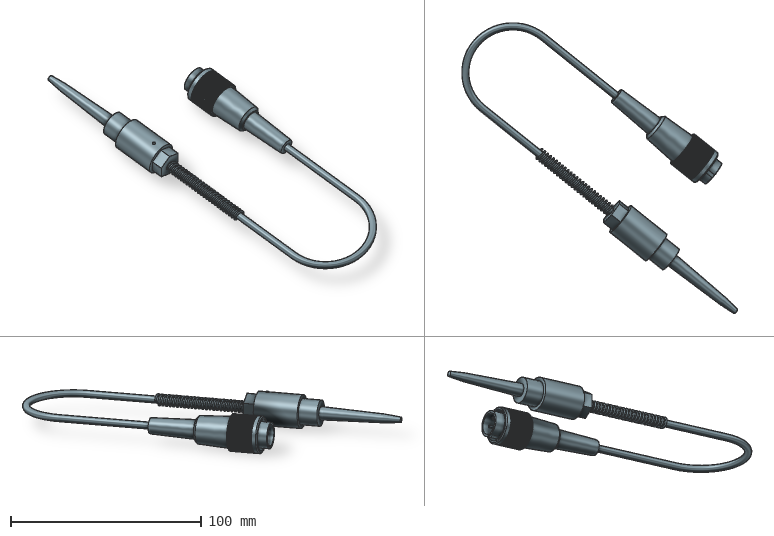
import cadquery as cq
import math

TOTAL_LENGTH = 199.7
PLUG_Y = 50.0
CABLE_DIAMETER = 3.8

TIP_END_DIAMETER = 3.0
TIP_DOME_HEIGHT = 0.3
TIP_BREAK_X = 9.5
TIP_BREAK_DIAMETER = 4.8
TIP_CONE_END_X = 42.1
TIP_SHANK_DIAMETER = 7.0

COLLAR_X = 44.5
COLLAR_DIAMETER = 14.0
SLEEVE_X = 54.7
SLEEVE_DIAMETER = 18.0
PIP_X = 73.9
PIP_DIAMETER = 1.5
PIP_HEIGHT = 0.4

NUT_X = 78.9
NUT_END_X = 85.0
NUT_ACROSS_FLATS = 13.2

SPRING_DIAMETER = 6.4
SPRING_WIRE_DIAMETER = 1.0
SPRING_PITCH = 2.0
SPRING_TURNS = 24.5
SPRING_CLEARANCE = 0.2

SHELL_X = 56.7
SHELL_DIAMETER = 14.0
SHELL_MOUTH_DIAMETER = 11.5
SHELL_FLOOR_DIAMETER = 10.2
SOCKET_DEPTH = 8.0
KEYWAY_WIDTH = 2.0
KEYWAY_RADIUS = 6.4
LUG_WIDTH = 2.4
LUG_RADIUS = 7.8
LUG_LENGTH = 2.0
PIN_COUNT = 4
PIN_DIAMETER = 1.5
PIN_CIRCLE_DIAMETER = 7.0
PIN_LENGTH = 5.8
PIN_CHAMFER = 0.3

RING_X = 61.3
RING_END_X = 77.9
RING_DIAMETER = 20.0
RING_BORE_DIAMETER = 16.8
RING_CHAMFER = 0.5
RING_RECESS_DEPTH = 4.0
KNURL_X = 64.3
KNURL_COUNT = 90
KNURL_DEPTH = 0.5

BOOT_DIAMETER = 17.2
SHOULDER_X = 95.8
SHOULDER_DIAMETER = 15.2
NECK_X = 97.2
NECK_DIAMETER = 10.5
BOOT_END_X = 122.8
BOOT_END_DIAMETER = 8.4
BOOT_RIM_X = 121.5
BOOT_RIM_DIAMETER = 8.8

TIP_DOME_RADIUS = ((TIP_END_DIAMETER / 2) ** 2 + TIP_DOME_HEIGHT ** 2) / (2 * TIP_DOME_HEIGHT)
BEND_RADIUS = PLUG_Y / 2
BEND_X = TOTAL_LENGTH - BEND_RADIUS - CABLE_DIAMETER / 2
SHELL_FLOOR_X = SHELL_X + SOCKET_DEPTH
SHELL_SEAT_X = RING_X + RING_RECESS_DEPTH


def cylinder(x_start, x_end, diameter, y=0.0, z=0.0):
    """A solid cylinder parallel to X."""
    return cq.Workplane("YZ", origin=(x_start, y, z)).circle(diameter / 2).extrude(x_end - x_start)


def turned(stations, y=0.0):
    """A body of revolution about an X-parallel axis through (x, diameter) stations."""
    outline = [(x, diameter / 2) for x, diameter in stations]
    outline = [(stations[0][0], 0.0)] + outline + [(stations[-1][0], 0.0)]
    body = cq.Workplane("XY").polyline(outline).close().revolve(360, (0, 0, 0), (1, 0, 0))
    return body.translate((0, y, 0))


def x_box(x_start, x_end, width, z_start, z_end, y=0.0):
    """A block centred on the given Y."""
    block = cq.Workplane("XY").box(x_end - x_start, width, z_end - z_start, centered=(False, True, False))
    return block.translate((x_start, y, z_start))


def make_tip():
    """A slender two-stage cone with a slightly domed end and a short cylindrical shank."""
    outline = (
        cq.Workplane("XY")
        .radiusArc((TIP_DOME_HEIGHT, TIP_END_DIAMETER / 2), TIP_DOME_RADIUS)
        .lineTo(TIP_BREAK_X, TIP_BREAK_DIAMETER / 2)
        .lineTo(TIP_CONE_END_X, TIP_SHANK_DIAMETER / 2)
        .lineTo(COLLAR_X, TIP_SHANK_DIAMETER / 2)
        .lineTo(COLLAR_X, 0)
        .close()
    )
    return outline.revolve(360, (0, 0, 0), (1, 0, 0))


def make_sleeve():
    """A barrel with a smaller front collar and a locating pip on top."""
    collar = cylinder(COLLAR_X, SLEEVE_X, COLLAR_DIAMETER)
    barrel = cylinder(SLEEVE_X, NUT_X, SLEEVE_DIAMETER)
    pip = cq.Workplane("XY", origin=(PIP_X, 0, 0)).circle(PIP_DIAMETER / 2)
    pip = pip.extrude(SLEEVE_DIAMETER / 2 + PIP_HEIGHT)
    return collar.union(barrel).union(pip)


def make_nut():
    """A hexagonal nut with corners at the top and bottom."""
    across_corners = NUT_ACROSS_FLATS / math.cos(math.pi / 6)
    blank = cq.Workplane("YZ", origin=(NUT_X, 0, 0)).polygon(6, across_corners).extrude(NUT_END_X - NUT_X)
    return blank.rotate((0, 0, 0), (1, 0, 0), 30)


def make_spring():
    """A left-hand helix around the cable, starting at -Y and ending at +Y."""
    coil_radius = (SPRING_DIAMETER - SPRING_WIRE_DIAMETER) / 2
    start_x = NUT_END_X + SPRING_WIRE_DIAMETER / 2 + SPRING_CLEARANCE
    height = SPRING_PITCH * SPRING_TURNS
    helix = cq.Wire.makeHelix(SPRING_PITCH, height, coil_radius, lefthand=True)
    section = cq.Workplane("XZ", origin=(coil_radius, 0, 0)).circle(SPRING_WIRE_DIAMETER / 2)
    coil = section.sweep(cq.Workplane(helix), isFrenet=True)
    coil = coil.rotate((0, 0, 0), (0, 1, 0), 90)
    return coil.rotate((0, 0, 0), (1, 0, 0), -90).translate((start_x, 0, 0))


def make_cable():
    """A round cable from the nut, through a half-circle bend, to the boot."""
    path = (
        cq.Workplane("XY", origin=(NUT_END_X, 0, 0))
        .lineTo(BEND_X - NUT_END_X, 0)
        .radiusArc((BEND_X - NUT_END_X, PLUG_Y), -BEND_RADIUS)
        .lineTo(BOOT_END_X - NUT_END_X, PLUG_Y)
    )
    return cq.Workplane("YZ", origin=(NUT_END_X, 0, 0)).circle(CABLE_DIAMETER / 2).sweep(path)


def make_shell():
    """A cylindrical shell with a keyed socket, contact pins and two locking lugs."""
    shell = cylinder(SHELL_X, SHELL_SEAT_X, SHELL_DIAMETER, PLUG_Y)
    shell = shell.union(cylinder(SHELL_SEAT_X, RING_END_X, RING_BORE_DIAMETER, PLUG_Y))
    lug_x = SHELL_SEAT_X - LUG_LENGTH
    shell = shell.union(x_box(lug_x, SHELL_SEAT_X, LUG_WIDTH, -LUG_RADIUS, LUG_RADIUS, PLUG_Y))
    socket = turned([(SHELL_X, SHELL_MOUTH_DIAMETER), (SHELL_FLOOR_X, SHELL_FLOOR_DIAMETER)], PLUG_Y)
    shell = shell.cut(socket)
    shell = shell.cut(x_box(SHELL_X, SHELL_FLOOR_X, KEYWAY_WIDTH, -KEYWAY_RADIUS, 0, PLUG_Y))
    for index in range(PIN_COUNT):
        angle = 2 * math.pi * index / PIN_COUNT
        pin_y = PLUG_Y + PIN_CIRCLE_DIAMETER / 2 * math.cos(angle)
        pin_z = PIN_CIRCLE_DIAMETER / 2 * math.sin(angle)
        pin = cylinder(SHELL_FLOOR_X - PIN_LENGTH, RING_END_X, PIN_DIAMETER, pin_y, pin_z)
        shell = shell.union(pin.faces("<X").chamfer(PIN_CHAMFER))
    return shell


def make_ring():
    """A coupling ring with straight V-grooves behind a smooth chamfered front."""
    ring = cylinder(RING_X, RING_END_X, RING_DIAMETER).faces("<X").chamfer(RING_CHAMFER)
    ring = ring.cut(cylinder(RING_X, RING_END_X, RING_BORE_DIAMETER))
    crest_radius = RING_DIAMETER / 2
    root_radius = crest_radius - KNURL_DEPTH
    half_angle = math.pi / KNURL_COUNT
    knurl_outline = []
    for index in range(KNURL_COUNT):
        crest = 2 * half_angle * index
        root = crest + half_angle
        knurl_outline.append((crest_radius * math.cos(crest), crest_radius * math.sin(crest)))
        knurl_outline.append((root_radius * math.cos(root), root_radius * math.sin(root)))
    length = RING_END_X - KNURL_X
    knurl = cq.Workplane("YZ", origin=(KNURL_X, 0, 0)).circle(RING_DIAMETER)
    knurl = knurl.polyline(knurl_outline).close().extrude(length)
    return ring.cut(knurl).translate((0, PLUG_Y, 0))


def make_boot():
    """A stepped, tapered sleeve that the cable leaves through its narrow end."""
    return turned([
        (RING_END_X, BOOT_DIAMETER),
        (SHOULDER_X, SHOULDER_DIAMETER),
        (NECK_X, SHOULDER_DIAMETER - 2 * (NECK_X - SHOULDER_X)),
        (NECK_X, NECK_DIAMETER),
        (BOOT_RIM_X, BOOT_RIM_DIAMETER),
        (BOOT_END_X, BOOT_END_DIAMETER),
    ], PLUG_Y)


tip = make_tip()
sleeve = make_sleeve()
nut = make_nut()
spring = make_spring()
cable = make_cable()
shell = make_shell()
ring = make_ring()
boot = make_boot()

bodies = [tip, sleeve, nut, spring, cable, shell, ring, boot]
result = cq.Compound.makeCompound([body.val() for body in bodies])